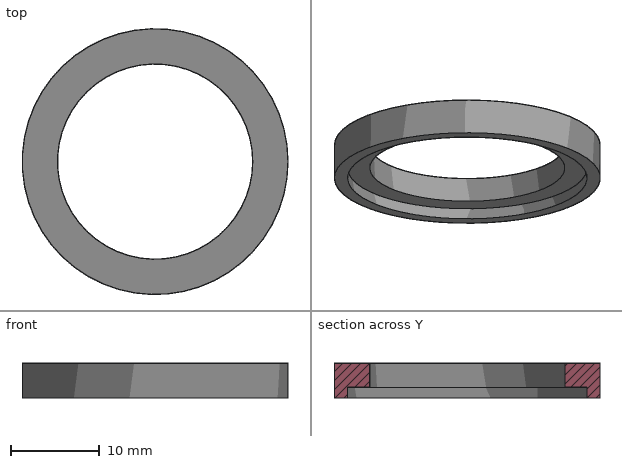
import cadquery as cq

outer_diameter = 30.0
bore_diameter = 22.0
thickness = 3.93
recess_diameter = 27.0
recess_depth = 1.2

ring = (
    cq.Workplane("XY")
    .circle(outer_diameter / 2)
    .circle(bore_diameter / 2)
    .extrude(thickness)
)

recess = cq.Workplane("XY").circle(recess_diameter / 2).extrude(recess_depth)

result = ring.cut(recess)